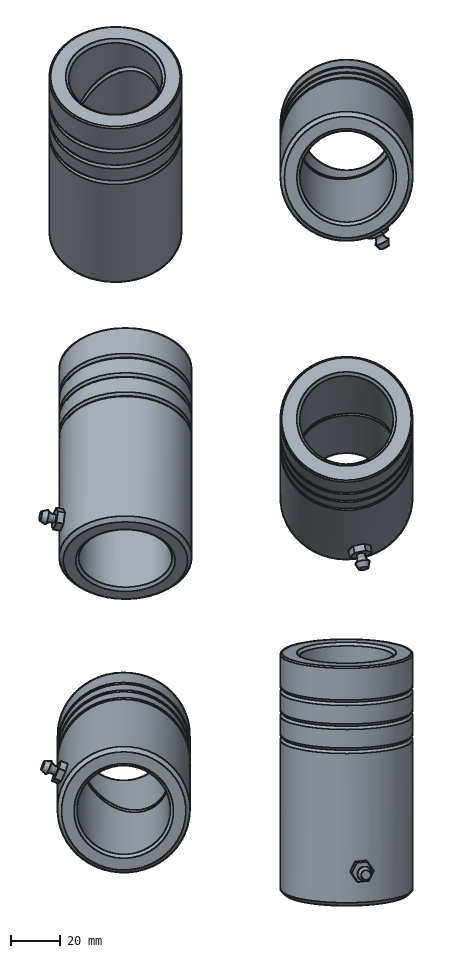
import cadquery as cq
import math

sleeve_length = 100.0
outer_radius = 27.0
bore_radius = 19.0
top_chamfer = 0.65
bottom_chamfer = 1.7
bore_chamfer = 1.25

groove_count = 3
groove_pitch = 10.0
first_groove_below_top = 15.0
groove_depth = 1.0
groove_half_width = 1.15

oil_groove_top_z = 85.0
oil_groove_tilt = 43.0
oil_groove_radius = 1.2

nipple_z = 15.0
shank_radius = 3.0
shank_length = 5.0
hex_across_flats = 8.0
hex_height = 3.0
hex_turn = 3.5
neck_radius = 1.8
neck_length = 1.1
head_radius = 3.0
flare_length = 2.4
tip_radius = 2.0
tip_y = 36.0

shank_end_y = outer_radius - shank_length
hex_face_y = outer_radius + hex_height
neck_end_y = hex_face_y + neck_length
head_rim_y = neck_end_y + flare_length


def make_nipple_shank():
    """Plain round shank of the nipple; the sleeve hole has the same shape."""
    return (
        cq.Workplane("XZ", origin=(0, shank_end_y, nipple_z))
        .circle(shank_radius)
        .extrude(-shank_length)
    )


def make_v_groove(center_z):
    """Ring cutter with a V section pointing at the sleeve axis."""
    return (
        cq.Workplane("XZ")
        .moveTo(outer_radius, center_z - groove_half_width)
        .lineTo(outer_radius - groove_depth, center_z)
        .lineTo(outer_radius, center_z + groove_half_width)
        .close()
        .revolve(360, (0, 0, 0), (0, 1, 0))
    )


def make_oil_groove():
    """Round cutter swept along the ellipse where a tilted plane meets the bore."""
    rise = bore_radius * math.tan(math.radians(oil_groove_tilt))
    middle_z = oil_groove_top_z - rise
    path = (
        cq.Workplane("XY", origin=(0, 0, middle_z))
        .transformed(rotate=(oil_groove_tilt, 0, 0))
        .ellipse(bore_radius, math.hypot(bore_radius, rise))
    )
    section_plane = cq.Plane(
        origin=(bore_radius, 0, middle_z),
        xDir=(1, 0, 0),
        normal=(0, bore_radius, rise),
    )
    return cq.Workplane(section_plane).circle(oil_groove_radius).sweep(path)


def make_sleeve():
    """Chamfered tube with outer V grooves, an oil groove and the nipple hole."""
    body = cq.Workplane("XY").circle(outer_radius).extrude(sleeve_length)
    body = body.faces(">Z").chamfer(top_chamfer)
    body = body.faces("<Z").chamfer(bottom_chamfer)

    bore = cq.Workplane("XY").circle(bore_radius).extrude(sleeve_length)
    body = body.cut(bore)
    body = body.edges(cq.selectors.RadiusNthSelector(0)).chamfer(bore_chamfer)

    first_groove_z = sleeve_length - first_groove_below_top
    for index in range(groove_count):
        body = body.cut(make_v_groove(first_groove_z - index * groove_pitch))

    return body.cut(make_oil_groove()).cut(make_nipple_shank())


def make_nipple():
    """Grease nipple: shank, hexagon seated at the outer radius, and a flared head."""
    hex_corner_diameter = hex_across_flats / math.cos(math.pi / 6)
    hex_base = cq.Plane(
        origin=(0, outer_radius, nipple_z),
        xDir=(1, 0, 0),
        normal=(0, 1, 0),
    )
    hexagon = (
        cq.Workplane(hex_base)
        .transformed(rotate=(0, 0, hex_turn))
        .polygon(6, hex_corner_diameter)
        .extrude(hex_height)
    )

    head = (
        cq.Workplane("XY", origin=(0, 0, nipple_z))
        .moveTo(0, hex_face_y)
        .lineTo(neck_radius, hex_face_y)
        .lineTo(neck_radius, neck_end_y)
        .tangentArcPoint((head_radius, head_rim_y), relative=False)
        .lineTo(tip_radius, tip_y)
        .lineTo(0, tip_y)
        .close()
        .revolve(360, (0, 0, 0), (0, 1, 0))
    )
    return hexagon.union(head).union(make_nipple_shank())


sleeve = make_sleeve()
nipple = make_nipple()

result = cq.Compound.makeCompound([sleeve.val(), nipple.val()])